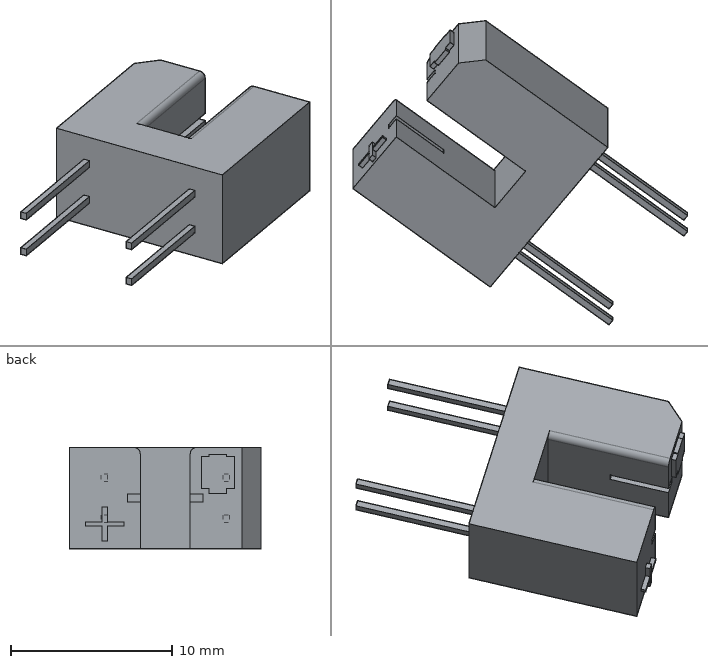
import cadquery as cq


body_width = 11.9
body_length = 10.8
body_height = 6.3
corner_chamfer = 1.2
gap_width = 3.1
base_thickness = 3.05
gap_edge_radius = 0.4

slit_depth = 0.8
slit_length = 3.75
slit_height = 0.5

mark_height = 0.3
plus_x = 3.76
plus_z = -1.6
plus_width = 2.4
plus_tall = 2.1
plus_upright = 0.35
plus_crossbar = 0.24
pad_x = -3.26
pad_width = 2.05
pad_core_width = 1.1
pad_core_tall = 2.4
pad_core_z = 1.5
pad_wing_tall = 2.0
pad_wing_z = 1.6

lead_width = 0.4
lead_thickness = 0.47
lead_length = 7.8
lead_pitch_x = 7.56
lead_pitch_z = 2.54

top_z = body_height / 2
gap_wall_x = gap_width / 2


def make_block():
    """Rectangular block with one vertical corner cut off at the tip of the -X leg."""
    block = cq.Workplane("XY").box(body_width, body_length, body_height, centered=(True, False, True))
    return block.edges("|Z and <X and >Y").chamfer(corner_chamfer)


def cut_gap(block):
    """Cut the light gap through the full height and round its two upper long edges."""
    gap_length = body_length - base_thickness
    gap = (
        cq.Workplane("XY")
        .box(gap_width, gap_length, body_height, centered=(True, False, True))
        .translate((0, base_thickness, 0))
    )
    forked = block.cut(gap)
    for side in (-1, 1):
        edge_middle = (side * gap_wall_x, base_thickness + gap_length / 2, top_z)
        forked = forked.edges(cq.selectors.NearestToPointSelector(edge_middle)).fillet(gap_edge_radius)
    return forked


def make_slits():
    """One flat box that spans the gap and cuts a slit into both leg walls."""
    return (
        cq.Workplane("XY")
        .box(gap_width + 2 * slit_depth, slit_length, slit_height, centered=(True, False, True))
        .translate((0, body_length - slit_length, 0))
    )


def make_tip_bar(width, tall, x, z):
    """Raised rectangular bar on the leg tip plane."""
    return (
        cq.Workplane("XY")
        .box(width, mark_height, tall)
        .translate((x, body_length + mark_height / 2, z))
    )


def make_plus_mark():
    """Raised plus sign on the tip of the +X leg."""
    upright = make_tip_bar(plus_upright, plus_tall, plus_x, plus_z)
    crossbar = make_tip_bar(plus_width, plus_crossbar, plus_x, plus_z)
    return upright.union(crossbar)


def make_pad_mark():
    """Raised pad with four notched corners on the tip of the -X leg."""
    core = make_tip_bar(pad_core_width, pad_core_tall, pad_x, pad_core_z)
    wings = make_tip_bar(pad_width, pad_wing_tall, pad_x, pad_wing_z)
    return core.union(wings)


def make_housing():
    forked = cut_gap(make_block()).cut(make_slits())
    return forked.union(make_plus_mark()).union(make_pad_mark())


def make_lead(x, z):
    """Straight rectangular lead that butts against the rear face of the housing."""
    return (
        cq.Workplane("XY")
        .box(lead_width, lead_length, lead_thickness)
        .translate((x, -lead_length / 2, z))
    )


housing = make_housing()

leads = []
for side_x in (-1, 1):
    for side_z in (-1, 1):
        lead = make_lead(side_x * lead_pitch_x / 2, side_z * lead_pitch_z / 2)
        leads.append(lead.val())

result = cq.Compound.makeCompound([housing.val(), *leads])